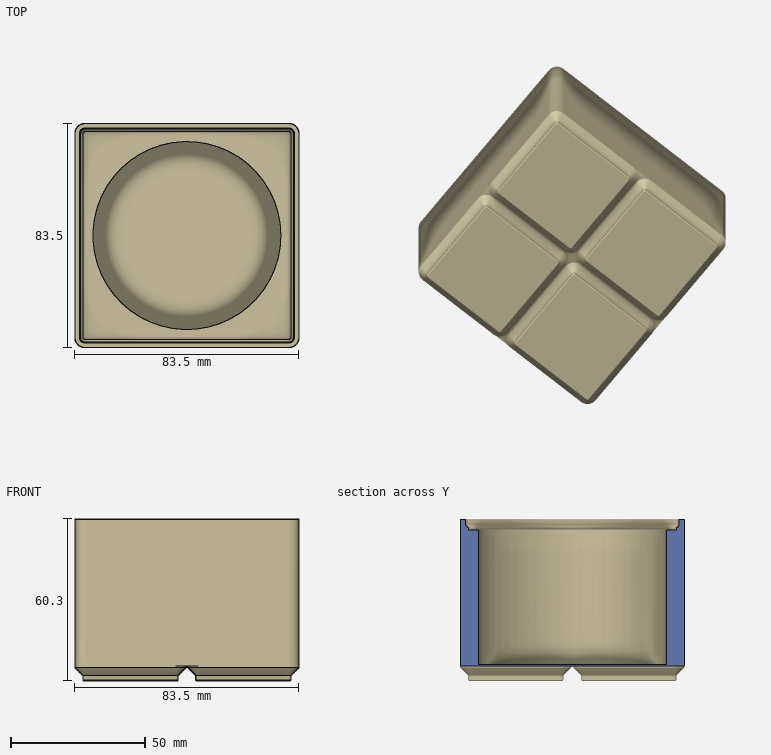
import cadquery as cq

body_side = 83.5
body_height = 60.3
corner_radius = 3.8

feet_per_side = 2
foot_gap = 0.5
foot_edge_chamfer = 0.3
foot_straight_top = 2.0
foot_flare = 3.0
foot_height = 5.5

lip_width = 1.75
lip_edge_chamfer = 0.3
lip_straight_depth = 2.0
lip_flare = 1.0
recess_depth = 4.0

pocket_diameter = 70.0
pocket_depth = 50.0

foot_pitch = (body_side + foot_gap) / feet_per_side
foot_side = foot_pitch - foot_gap
recess_floor = body_height - recess_depth


def rounded_block(inset, bottom, top, side=body_side):
    """Straight rounded square, set in from the outer outline by the inset."""
    return (
        cq.Workplane("XY", origin=(0, 0, bottom))
        .rect(side - 2 * inset, side - 2 * inset)
        .extrude(top - bottom)
        .edges("|Z")
        .fillet(corner_radius - inset)
    )


def flared_block(inset, bottom, growth, side=body_side):
    """Rounded square that widens upward at 45 degrees by the growth on every side."""
    width = side - 2 * inset
    outline = cq.Sketch().rect(width, width).vertices().fillet(corner_radius - inset)
    return cq.Workplane("XY", origin=(0, 0, bottom)).placeSketch(outline).extrude(growth, taper=-45)


def make_foot():
    flare_top = foot_straight_top + foot_flare
    straight = rounded_block(foot_flare, 0, foot_straight_top, foot_side)
    straight = straight.faces("<Z").edges().chamfer(foot_edge_chamfer)
    flare = flared_block(foot_flare, foot_straight_top, foot_flare, foot_side)
    root = rounded_block(0, flare_top, foot_height, foot_side)
    return straight.union(flare).union(root)


def make_recess():
    edge_bottom = body_height - lip_edge_chamfer
    flare_top = edge_bottom - lip_straight_depth
    flare_bottom = flare_top - lip_flare
    straight_inset = lip_width + lip_edge_chamfer
    floor_inset = straight_inset + lip_flare
    lower = rounded_block(floor_inset, recess_floor, flare_bottom)
    flare = flared_block(floor_inset, flare_bottom, lip_flare)
    straight = rounded_block(straight_inset, flare_top, edge_bottom)
    edge = flared_block(straight_inset, edge_bottom, lip_edge_chamfer)
    return lower.union(flare).union(straight).union(edge)


def make_pocket():
    return (
        cq.Workplane("XY", origin=(0, 0, recess_floor))
        .circle(pocket_diameter / 2)
        .extrude(-pocket_depth)
    )


result = rounded_block(0, foot_height, body_height)

foot = make_foot()
first_foot = -(feet_per_side - 1) * foot_pitch / 2
for column in range(feet_per_side):
    for row in range(feet_per_side):
        x = first_foot + column * foot_pitch
        y = first_foot + row * foot_pitch
        result = result.union(foot.translate((x, y, 0)))

result = result.cut(make_recess()).cut(make_pocket())